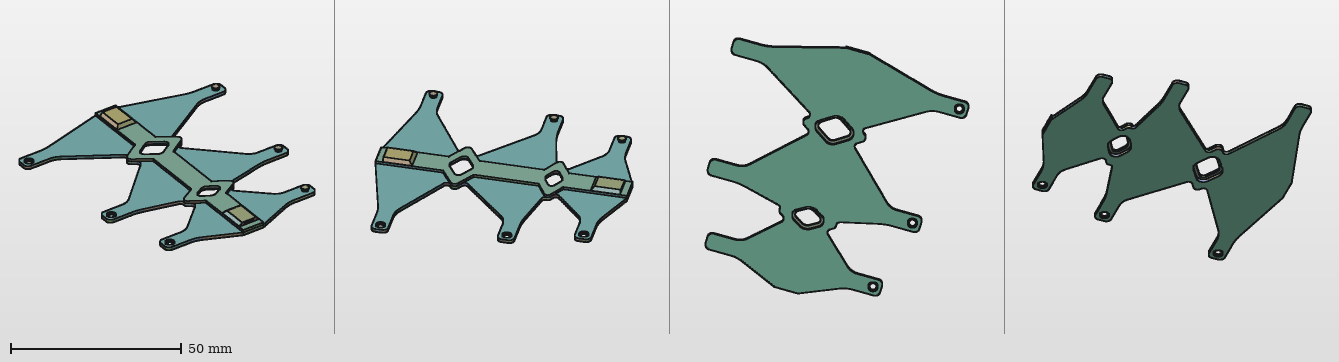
import cadquery as cq
import math

plate_thickness = 1.1
bar_thickness = 0.8
pad_height = 1.1
bar_base_z = plate_thickness
pad_base_z = bar_base_z + bar_thickness

bar_length = 76.0
bar_width = 7.2
bar_half_length = bar_length / 2
bar_half_width = bar_width / 2

front_diamond = {
    "x": -12.9,
    "outer": (7.1, 10.6), "outer_tip_radius": 1.3,
    "window": (3.95, 5.9), "window_tip_radius": 1.3, "window_side_radius": 2.0,
}
rear_diamond = {
    "x": 15.05,
    "outer": (5.9, 9.7), "outer_tip_radius": 1.15,
    "window": (3.0, 4.95), "window_tip_radius": 1.15, "window_side_radius": 2.3,
}
diamonds = [front_diamond, rear_diamond]

plate_width = 72.0
wings = [
    {"base": (-bar_half_length, front_diamond["x"]), "tab_x": -29.3, "tab_end": plate_width / 2},
    {"base": (front_diamond["x"], rear_diamond["x"]), "tab_x": 8.0, "tab_end": 32.45},
    {"base": (rear_diamond["x"], bar_half_length), "tab_x": 29.9, "tab_end": 26.75},
]
tab_width = 5.0
tab_half_width = tab_width / 2
tab_length = 10.0
tab_corner_radius = 1.5
neck_blend_length = 2.0
window_clearance = 0.9
crotch_radius = 1.15

fastener_inset = tab_half_width
pin_stem_diameter = 2.0
pin_head_diameter = 2.4
pin_height = 1.1
pin_head_thickness = 0.3
pin_cone_height = 0.2
hole_diameter = 2.0
counterbore_diameter = 2.8
counterbore_depth = 0.4

pad_end_gap = 2.1
pad_length = 8.9
pad_slope_run = 1.0
pad_base_half_width = 3.5
pad_slot_width = 3.2
pad_slot_height = 0.2
pad_slot_depth = 0.4


def diamond(centre_x, half_size, height, base_z):
    """Sharp-cornered diamond prism."""
    half_x, half_y = half_size
    corners = [(half_x, 0), (0, half_y), (-half_x, 0), (0, -half_y)]
    return (
        cq.Workplane("XY", origin=(centre_x, 0, base_z))
        .polyline(corners).close().extrude(height)
    )


def outer_diamond(spec, height, base_z):
    """Diamond with its two Y tips rounded."""
    body = diamond(spec["x"], spec["outer"], height, base_z)
    tips = body.edges("|Z").edges(">Y or <Y")
    return tips.fillet(spec["outer_tip_radius"])


def diamond_window(spec, height, base_z):
    """Cutter for the window, with all four tips rounded."""
    cutter = diamond(spec["x"], spec["window"], height, base_z)
    cutter = cutter.edges("|Z").edges(">Y or <Y").fillet(spec["window_tip_radius"])
    return cutter.edges("|Z").edges(">X or <X").fillet(spec["window_side_radius"])


def plate_window(spec):
    """Cutter for the plate's window: the bar's window enlarged by the clearance."""
    outline = diamond_window(spec, plate_thickness, 0).faces("<Z").wires()
    return outline.toPending().offset2D(window_clearance).extrude(plate_thickness)


def bar_strip(height, base_z):
    strip = cq.Workplane("XY", origin=(0, 0, base_z))
    return strip.rect(bar_length, bar_width).extrude(height)


def toward(start, end, distance):
    """Point at the given distance from start on the way to end."""
    span = math.dist(start, end)
    return tuple(a + (b - a) * distance / span for a, b in zip(start, end))


def wing(spec, side):
    """One wing with its tab, reaching out to +Y (side = 1) or to -Y (side = -1)."""
    left, right = spec["base"]
    tab_left = spec["tab_x"] - tab_half_width
    tab_right = spec["tab_x"] + tab_half_width
    tab_end = spec["tab_end"]
    neck_y = tab_end - tab_length
    base_left = (left, bar_half_width)
    base_right = (right, bar_half_width)
    neck_left = (tab_left, neck_y)
    neck_right = (tab_right, neck_y)
    blend_y = neck_y + neck_blend_length
    right_flank_end = toward(neck_right, base_right, neck_blend_length)
    left_flank_end = toward(neck_left, base_left, neck_blend_length)
    body = (
        cq.Workplane("XY")
        .moveTo(left, 0)
        .lineTo(right, 0)
        .lineTo(*base_right)
        .lineTo(*right_flank_end)
        .tangentArcPoint((tab_right, blend_y), relative=False)
        .lineTo(tab_right, tab_end)
        .lineTo(tab_left, tab_end)
        .lineTo(tab_left, blend_y)
        .tangentArcPoint(left_flank_end, relative=False)
        .lineTo(*base_left)
        .close()
        .extrude(plate_thickness)
    )
    body = body.faces(">Y").edges("|Z").fillet(tab_corner_radius)
    return body if side > 0 else body.mirror("XZ")


def round_inside_corners(body):
    """Round the inside corners of the flat outline by growing it and shrinking it back."""
    outline = body.faces("<Z").wires()
    grown = outline.toPending().offset2D(crotch_radius, "intersection")
    closed = grown.offset2D(-crotch_radius, "arc")
    return closed.extrude(plate_thickness)


def fastener_points(side):
    return [(spec["tab_x"], side * (spec["tab_end"] - fastener_inset)) for spec in wings]


def cylinder(x, y, diameter, base_z, height):
    circle = cq.Workplane("XY", origin=(x, y, base_z)).circle(diameter / 2)
    return circle.extrude(height)


def fastener_hole(x, y):
    """Cutter for a through hole counterbored from both faces of the tab."""
    through = cylinder(x, y, hole_diameter, 0, plate_thickness)
    lower = cylinder(x, y, counterbore_diameter, 0, counterbore_depth)
    upper_z = plate_thickness - counterbore_depth
    upper = cylinder(x, y, counterbore_diameter, upper_z, counterbore_depth)
    return through.union(lower).union(upper)


def make_plate():
    plate = bar_strip(plate_thickness, 0)
    for spec in diamonds:
        plate = plate.union(outer_diamond(spec, plate_thickness, 0))
    for spec in wings:
        for side in (1, -1):
            plate = plate.union(wing(spec, side))
    plate = round_inside_corners(plate.clean())
    for spec in diamonds:
        plate = plate.cut(plate_window(spec))
    for x, y in fastener_points(-1):
        plate = plate.cut(fastener_hole(x, y))
    return plate


def make_pad(side):
    """Pad with a slotted upright outer end and slopes on its other three sides."""
    outer_x = bar_half_length - pad_end_gap
    inner_x = outer_x - pad_length
    top_half_width = pad_base_half_width - pad_slope_run
    section = [
        (-pad_base_half_width, 0),
        (pad_base_half_width, 0),
        (top_half_width, pad_height),
        (-top_half_width, pad_height),
    ]
    pad = (
        cq.Workplane("YZ", origin=(inner_x, 0, pad_base_z))
        .polyline(section).close().extrude(pad_length)
    )
    end_slope = (
        cq.Workplane("XZ", origin=(inner_x, 0, pad_base_z))
        .polyline([(0, 0), (0, pad_height), (pad_slope_run, pad_height)]).close()
        .extrude(pad_base_half_width, both=True)
    )
    slot = (
        cq.Workplane("YZ", origin=(outer_x, 0, pad_base_z + pad_height / 2))
        .rect(pad_slot_width, pad_slot_height).extrude(-pad_slot_depth)
    )
    pad = pad.cut(end_slope).cut(slot)
    return pad if side > 0 else pad.mirror("YZ")


def make_bar():
    bar = bar_strip(bar_thickness, bar_base_z)
    for spec in diamonds:
        bar = bar.union(outer_diamond(spec, bar_thickness, bar_base_z))
    for spec in diamonds:
        bar = bar.cut(diamond_window(spec, bar_thickness, bar_base_z))
    for side in (1, -1):
        bar = bar.union(make_pad(side))
    return bar


def make_pin(x, y):
    """Pin standing on top of a tab: a stem that flares into a flat head."""
    stem_radius = pin_stem_diameter / 2
    head_radius = pin_head_diameter / 2
    head_base_z = pin_height - pin_head_thickness
    stem_top_z = head_base_z - pin_cone_height
    half_section = [
        (0, 0),
        (stem_radius, 0),
        (stem_radius, stem_top_z),
        (head_radius, head_base_z),
        (head_radius, pin_height),
        (0, pin_height),
    ]
    pin = cq.Workplane("XZ", origin=(x, y, plate_thickness)).polyline(half_section).close()
    return pin.revolve(360, (0, 0), (0, 1))


plate = make_plate()
bar = make_bar()
pins = [make_pin(x, y) for x, y in fastener_points(1)]

result = cq.Compound.makeCompound([plate.val(), bar.val(), *[pin.val() for pin in pins]])